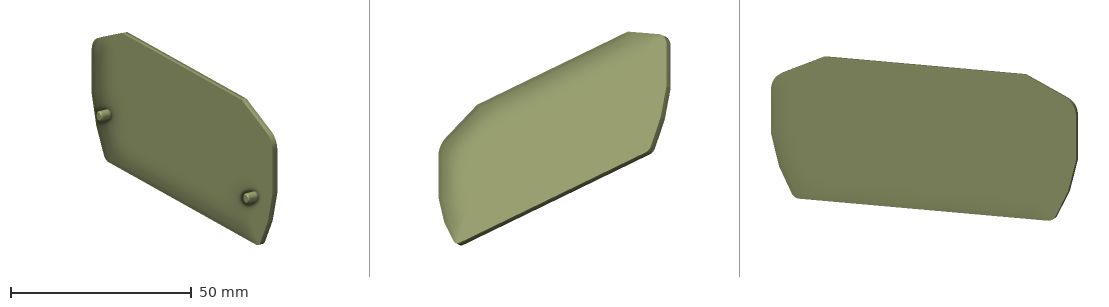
import cadquery as cq

width = 90.0
height = 40.8
overall_depth = 4.9
plate_thickness = 1.6

top_half_width = 29.7
bottom_half_width = 38.25
shoulder_height = 33.8
side_bottom_height = 17.7
lower_bend_half_width = 42.7
lower_bend_height = 8.7
shoulder_radius = 5.0
bottom_radius = 2.5

pin_diameter = 3.0
pin_chamfer = 0.4
pin_half_spacing = 36.5
pin_height = 14.3
pin_length = overall_depth - plate_thickness


def make_plate():
    """Symmetric plate with its front face at Y = 0 and rounded corners."""
    right_side = [
        (bottom_half_width, 0),
        (lower_bend_half_width, lower_bend_height),
        (width / 2, side_bottom_height),
        (width / 2, shoulder_height),
        (top_half_width, height),
    ]
    left_side = [(-x, z) for x, z in reversed(right_side)]
    plate = cq.Workplane("XZ").polyline(right_side + left_side).close().extrude(-plate_thickness)

    shoulder_points = [(side * width / 2, shoulder_height) for side in (-1, 1)]
    bottom_points = [(side * bottom_half_width, 0) for side in (-1, 1)]
    for points, radius in ((shoulder_points, shoulder_radius), (bottom_points, bottom_radius)):
        for x, z in points:
            corner = cq.selectors.NearestToPointSelector((x, plate_thickness / 2, z))
            plate = plate.edges("|Y").edges(corner).fillet(radius)
    return plate


def make_pin(x):
    """Pin standing forward from the plate, with a chamfered tip."""
    pin = cq.Workplane("XZ").center(x, pin_height).circle(pin_diameter / 2).extrude(pin_length)
    return pin.faces("<Y").chamfer(pin_chamfer)


result = make_plate()
for pin_x in (-pin_half_spacing, pin_half_spacing):
    result = result.union(make_pin(pin_x))